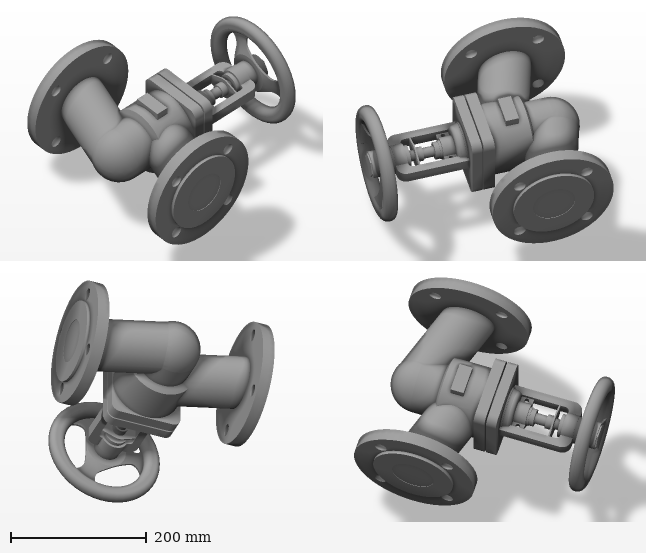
import cadquery as cq
import math


flange_radius = 92.5
flange_outer_x = 140.2
flange_thickness = 18.0
flange_inner_x = flange_outer_x - flange_thickness
raised_face_radius = 61.5
overall_length = 290.0
raised_face_x = overall_length / 2
port_radius = 32.2
port_depth = 0.7
bolt_hole_radius = 9.0
bolt_offset = 51.3

neck_radius = 39.0
neck_drop = 39.2

body_radius = 53.0
body_bottom_y = 3.7
bowl_radius = 42.0
bowl_top_y = -1.5
bowl_centre_y = -37.0

joint_side = 109.0
joint_corner_radius = 13.0
body_plate_y = 64.7
gasket_y = 81.5
gasket_radius = 47.0
bonnet_plate_y = 84.0
bonnet_y = 99.3

dome_foot_radius = 35.0
dome_foot_top_y = 101.5
dome_side_radius = 33.5
dome_shoulder_radius = 31.5
dome_shoulder_y = 107.5
dome_top_radius = 25.8

packing_radius = 17.5
packing_y = 113.7
packing_top_y = 132.5
gland_flange_radius = 14.0
gland_flange_top_y = 135.8
gland_radius = 13.0
gland_top_y = 143.2
spindle_radius = 8.0
stop_nut_radius = 10.7
stop_nut_y = 160.5
indicator_y = 171.0
indicator_thickness = 2.5
indicator_radius = 17.5
bush_collar_radius = 17.5
bush_collar_y = 181.8
bush_radius = 21.0
bush_y = 187.8

yoke_half_width = 38.5
yoke_inner_half_width = 26.5
yoke_thickness = 17.8
yoke_top_y = 206.5
yoke_outer_corner_radius = 14.0
yoke_inner_corner_radius = 6.5

web_thickness = 6.7
web_hole_radius = 3.5
web_hole_x = 21.8
web_hole_y = 122.7

wheel_radius = 87.5
wheel_bottom_y = 220.3
wheel_height = 20.5
wheel_top_y = wheel_bottom_y + wheel_height
wheel_opening_radius = 63.0
rim_lower_fillet = 8.0
rim_upper_fillet = 10.7
hub_radius = 31.0
hub_neck_radius = 20.0
dish_thickness = 3.0
dish_rise = 16.8
window_count = 3
first_window_angle = 30
window_inner_offset = 31.5
window_width = 81.0
window_fillet = 13.5
hex_across_corners = 37.5
hex_top_y = 242.8

name_plate_length = 44.0
name_plate_width = 20.0
name_plate_y = 29.0
name_plate_z = 60.5


def disc(radius, y_low, y_high):
    """Cylinder about the Y axis."""
    return cq.Workplane("XZ", origin=(0, y_low, 0)).circle(radius).extrude(y_low - y_high)


def block(half_width, y_low, y_high, thickness):
    """Box centred on X = 0 and Z = 0."""
    height = y_high - y_low
    return cq.Workplane("XY", origin=(0, y_low + height / 2, 0)).box(2 * half_width, height, thickness)


def square_plate(y_low, y_high):
    """Square joint plate with rounded corners."""
    plate = cq.Workplane("XZ", origin=(0, y_low, 0)).rect(joint_side, joint_side).extrude(y_low - y_high)
    return plate.edges("|Y").fillet(joint_corner_radius)


def pipe_end(side):
    """Flange and inclined neck; side is -1 for the inlet and +1 for the outlet."""
    neck_angle = math.atan2(neck_drop, flange_inner_x)
    length = raised_face_x / math.cos(neck_angle)
    axis = cq.Vector(side * math.cos(neck_angle), -side * math.sin(neck_angle), 0)
    start = cq.Vector(0, side * neck_drop, 0)
    neck = cq.Workplane(cq.Solid.makeCylinder(neck_radius, length, start, axis))
    neck = neck.intersect(block(flange_outer_x, -flange_radius, flange_radius, 2 * neck_radius))

    flange = (
        cq.Workplane("YZ", origin=(side * flange_inner_x, 0, 0))
        .circle(flange_radius)
        .extrude(side * flange_thickness)
    )
    raised_face = (
        cq.Workplane("YZ", origin=(side * flange_inner_x, 0, 0))
        .circle(raised_face_radius)
        .extrude(side * (raised_face_x - flange_inner_x))
    )
    bolt_holes = (
        cq.Workplane("YZ", origin=(side * flange_inner_x, 0, 0))
        .rect(2 * bolt_offset, 2 * bolt_offset, forConstruction=True)
        .vertices()
        .circle(bolt_hole_radius)
        .extrude(side * flange_thickness)
    )
    port = (
        cq.Workplane("YZ", origin=(side * raised_face_x, 0, 0))
        .circle(port_radius)
        .extrude(-side * port_depth)
    )
    flange = flange.cut(bolt_holes).union(raised_face).cut(port)
    return flange.union(neck)


def body():
    """Valve bowl, body barrel and the square joint plates."""
    barrel = (
        cq.Workplane("XY")
        .moveTo(0, bowl_centre_y - bowl_radius)
        .radiusArc((bowl_radius, bowl_centre_y), -bowl_radius)
        .lineTo(bowl_radius, bowl_top_y)
        .lineTo(body_radius, body_bottom_y)
        .lineTo(body_radius, body_plate_y)
        .lineTo(0, body_plate_y)
        .close()
        .revolve(360, (0, 0), (0, 1))
    )
    barrel = barrel.union(square_plate(body_plate_y, gasket_y))
    barrel = barrel.union(disc(gasket_radius, gasket_y, bonnet_plate_y))
    return barrel.union(square_plate(bonnet_plate_y, bonnet_y))


def name_plate():
    """Rectangular pad standing on the body barrel."""
    return (
        cq.Workplane("XY", origin=(0, name_plate_y, 0))
        .rect(name_plate_length, name_plate_width)
        .extrude(name_plate_z)
    )


def dome():
    """Bonnet dome with a rounded shoulder, standing on the upper joint plate."""
    return (
        cq.Workplane("XY")
        .moveTo(0, bonnet_y)
        .lineTo(dome_foot_radius, bonnet_y)
        .lineTo(dome_foot_radius, dome_foot_top_y)
        .lineTo(dome_side_radius, dome_foot_top_y)
        .lineTo(dome_shoulder_radius, dome_shoulder_y)
        .radiusArc((dome_top_radius, packing_y), -(packing_y - dome_shoulder_y))
        .lineTo(0, packing_y)
        .close()
        .revolve(360, (0, 0), (0, 1))
    )


def spindle():
    """Turned parts along the spindle, from the packing neck up to the wheel hub."""
    stack = disc(packing_radius, packing_y, packing_top_y)
    stack = stack.union(disc(gland_flange_radius, packing_top_y, gland_flange_top_y))
    stack = stack.union(disc(gland_radius, gland_flange_top_y, gland_top_y))
    stack = stack.union(disc(spindle_radius, gland_top_y, bush_collar_y))
    stack = stack.union(disc(stop_nut_radius, stop_nut_y, indicator_y))
    stack = stack.union(disc(bush_collar_radius, bush_collar_y, bush_y))
    stack = stack.union(disc(bush_radius, bush_y, yoke_top_y))
    return stack.union(disc(hub_neck_radius, yoke_top_y, wheel_bottom_y))


def indicator():
    """Travel indicator: a round centre with straight flanks running out to the yoke legs."""
    tip_x = yoke_inner_half_width
    tip_z = yoke_thickness / 2
    tip_distance = math.hypot(tip_x, tip_z)
    tangent_angle = math.atan2(tip_z, tip_x) + math.acos(indicator_radius / tip_distance)
    tangent_x = indicator_radius * math.cos(tangent_angle)
    tangent_z = indicator_radius * math.sin(tangent_angle)
    return (
        cq.Workplane("XZ", origin=(0, indicator_y, 0))
        .moveTo(tip_x, -tip_z)
        .lineTo(tip_x, tip_z)
        .lineTo(tangent_x, tangent_z)
        .threePointArc((0, indicator_radius), (-tangent_x, tangent_z))
        .lineTo(-tip_x, tip_z)
        .lineTo(-tip_x, -tip_z)
        .lineTo(-tangent_x, -tangent_z)
        .threePointArc((0, -indicator_radius), (tangent_x, -tangent_z))
        .close()
        .extrude(-indicator_thickness)
    )


def yoke():
    """Arch from the bonnet plate to the spindle bush, with a drilled web at its foot."""
    arch = block(yoke_half_width, bonnet_y, yoke_top_y, yoke_thickness)
    arch = arch.edges("|Z and >Y").fillet(yoke_outer_corner_radius)
    window = block(yoke_inner_half_width, bonnet_y, bush_y, yoke_thickness)
    window = window.edges("|Z and >Y").fillet(yoke_inner_corner_radius)
    web = block(yoke_inner_half_width, bonnet_y, packing_top_y, web_thickness)
    web_holes = (
        cq.Workplane("XY", origin=(0, web_hole_y, -web_thickness / 2))
        .pushPoints([(-web_hole_x, 0), (web_hole_x, 0)])
        .circle(web_hole_radius)
        .extrude(web_thickness)
    )
    return arch.cut(window).union(web.cut(web_holes))


def handwheel():
    """Rim with a half-round inner side, conical dish cut by windows into spokes, hub and hexagon nut."""
    inner_radius = wheel_height / 2
    inner_flat = wheel_opening_radius + inner_radius
    rim = (
        cq.Workplane("XY")
        .moveTo(inner_flat, wheel_bottom_y)
        .lineTo(wheel_radius - rim_lower_fillet, wheel_bottom_y)
        .radiusArc((wheel_radius, wheel_bottom_y + rim_lower_fillet), -rim_lower_fillet)
        .lineTo(wheel_radius, wheel_top_y - rim_upper_fillet)
        .radiusArc((wheel_radius - rim_upper_fillet, wheel_top_y), -rim_upper_fillet)
        .lineTo(inner_flat, wheel_top_y)
        .threePointArc((wheel_opening_radius, wheel_bottom_y + inner_radius), (inner_flat, wheel_bottom_y))
        .close()
        .revolve(360, (0, 0), (0, 1))
    )

    dish_edge_y = wheel_bottom_y + dish_rise
    dish = (
        cq.Workplane("XY")
        .moveTo(0, wheel_bottom_y)
        .lineTo(hub_radius, wheel_bottom_y)
        .lineTo(inner_flat, dish_edge_y)
        .lineTo(inner_flat, dish_edge_y + dish_thickness)
        .lineTo(hub_radius, wheel_bottom_y + dish_thickness)
        .lineTo(0, wheel_bottom_y + dish_thickness)
        .close()
        .revolve(360, (0, 0), (0, 1))
    )
    window = (
        block(window_width / 2, wheel_bottom_y, wheel_top_y, wheel_radius)
        .translate((0, 0, window_inner_offset + wheel_radius / 2))
        .edges("|Y and <Z")
        .fillet(window_fillet)
        .intersect(disc(inner_flat, wheel_bottom_y, wheel_top_y))
    )
    for index in range(window_count):
        angle = first_window_angle + index * 360 / window_count
        dish = dish.cut(window.rotate((0, 0, 0), (0, 1, 0), angle))

    hub = disc(hub_neck_radius, wheel_bottom_y, wheel_top_y)
    hexagon = (
        cq.Workplane("XZ", origin=(0, wheel_top_y, 0))
        .polygon(6, hex_across_corners)
        .extrude(wheel_top_y - hex_top_y)
    )
    return rim.union(dish).union(hub).union(hexagon)


result = body()
for feature in (
    pipe_end(-1),
    pipe_end(1),
    name_plate(),
    dome(),
    yoke(),
    spindle(),
    indicator(),
    handwheel(),
):
    result = result.union(feature)